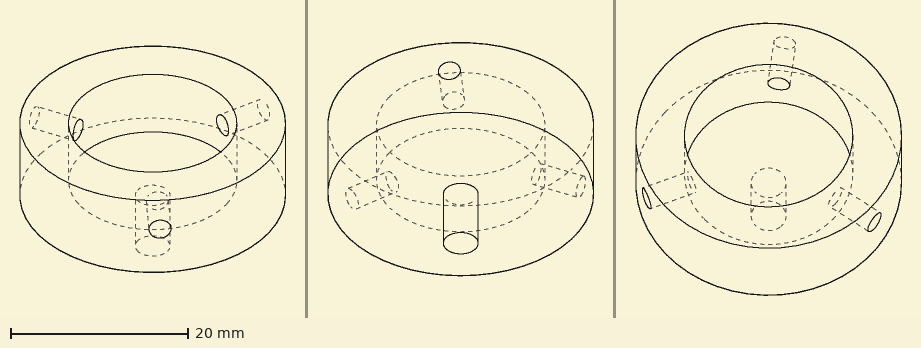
import cadquery as cq

outer_diameter = 30.0
bore_diameter = 19.0
ring_height = 10.0
floor_thickness = 2.0

pin_diameter = 3.93
pin_length = 7.02

hole_diameter = 2.5
hole_count = 3
first_hole_angle = 90.0
hole_height = 6.0


def make_cup():
    """Round body with its underside at Z = 0 and a flat-bottomed bore open at the top."""
    body = cq.Workplane("XY").circle(outer_diameter / 2).extrude(ring_height)
    bore = (
        cq.Workplane("XY")
        .workplane(offset=floor_thickness)
        .circle(bore_diameter / 2)
        .extrude(ring_height - floor_thickness)
    )
    return body.cut(bore)


def make_pin():
    """Central pin hanging from the underside."""
    return cq.Workplane("XY").circle(pin_diameter / 2).extrude(-pin_length)


def make_radial_hole(angle):
    """Cutter running from the axis outward through one side of the wall."""
    return (
        cq.Workplane("YZ")
        .center(0, hole_height)
        .circle(hole_diameter / 2)
        .extrude(outer_diameter)
        .rotate((0, 0, 0), (0, 0, 1), angle)
    )


result = make_cup().union(make_pin())
for index in range(hole_count):
    hole_angle = first_hole_angle + index * 360.0 / hole_count
    result = result.cut(make_radial_hole(hole_angle))